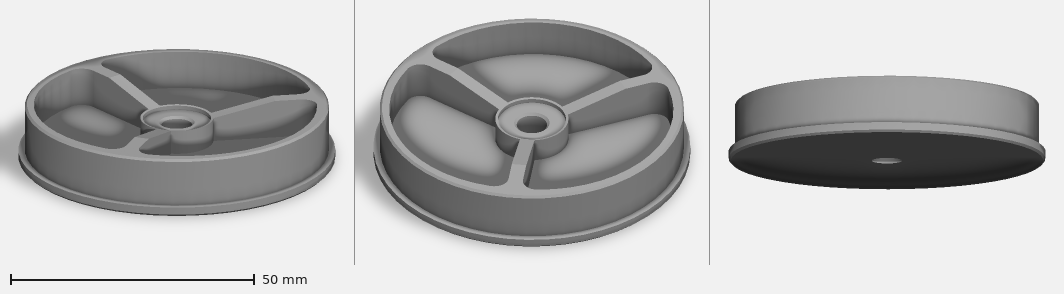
import cadquery as cq
import math

flange_diameter = 65.0
flange_thickness = 2.0
drum_diameter = 62.4
total_height = 12.0
edge_chamfer = 0.45

floor_thickness = 4.0
pocket_radius = 27.65
pocket_corner_radius = 3.0
spoke_count = 3
spoke_width = 3.0
first_spoke_angle = -90.0

hub_diameter = 15.0
recess_diameter = 14.0
recess_depth = 0.9
bore_diameter = 6.25
bore_chamfer = 0.5

dish_diameter = 40.4
dish_bottom_height = 8.9

pocket_depth = total_height - floor_thickness
spoke_spacing = 360.0 / spoke_count
half_sector_angle = spoke_spacing / 2
recess_floor_height = dish_bottom_height - recess_depth


def make_body():
    """Solid drum standing on a wider flange, with chamfered outer edges."""
    flange = (
        cq.Workplane("XY")
        .circle(flange_diameter / 2)
        .extrude(flange_thickness)
        .faces("<Z")
        .chamfer(edge_chamfer)
    )
    drum = (
        cq.Workplane("XY")
        .workplane(offset=flange_thickness)
        .circle(drum_diameter / 2)
        .extrude(total_height - flange_thickness)
        .faces(">Z")
        .chamfer(edge_chamfer)
    )
    return flange.union(drum)


def make_pocket(spoke_angle):
    """Sector between one spoke and the next; its tip and arc centre lie where the spoke sides meet."""
    tip_radius = spoke_width / 2 / math.sin(math.radians(half_sector_angle))
    corner_x = pocket_radius * math.cos(math.radians(half_sector_angle))
    corner_y = pocket_radius * math.sin(math.radians(half_sector_angle))
    sector = (
        cq.Workplane("XY")
        .lineTo(corner_x, -corner_y)
        .threePointArc((pocket_radius, 0), (corner_x, corner_y))
        .close()
        .extrude(pocket_depth)
        .edges("|Z and (not <X)")
        .fillet(pocket_corner_radius)
    )
    return (
        sector.translate((tip_radius, 0, floor_thickness))
        .rotate((0, 0, 0), (0, 0, 1), spoke_angle + half_sector_angle)
    )


def make_hub():
    """Plain round post that fills the inner ends of the pockets."""
    return (
        cq.Workplane("XY")
        .workplane(offset=floor_thickness)
        .circle(hub_diameter / 2)
        .extrude(pocket_depth)
    )


def make_centre_cut():
    """Dish, hub recess and chamfered bore as one turned profile (radius, height)."""
    bore_radius = bore_diameter / 2
    return (
        cq.Workplane("XZ")
        .moveTo(0, 0)
        .lineTo(bore_radius, 0)
        .lineTo(bore_radius, recess_floor_height - bore_chamfer)
        .lineTo(bore_radius + bore_chamfer, recess_floor_height)
        .lineTo(recess_diameter / 2, recess_floor_height)
        .lineTo(recess_diameter / 2, dish_bottom_height)
        .lineTo(dish_diameter / 2, total_height)
        .lineTo(0, total_height)
        .close()
        .revolve(axisStart=(0, 0, 0), axisEnd=(0, 1, 0))
    )


result = make_body()
for spoke in range(spoke_count):
    result = result.cut(make_pocket(first_spoke_angle + spoke_spacing * spoke))
result = result.union(make_hub()).cut(make_centre_cut())